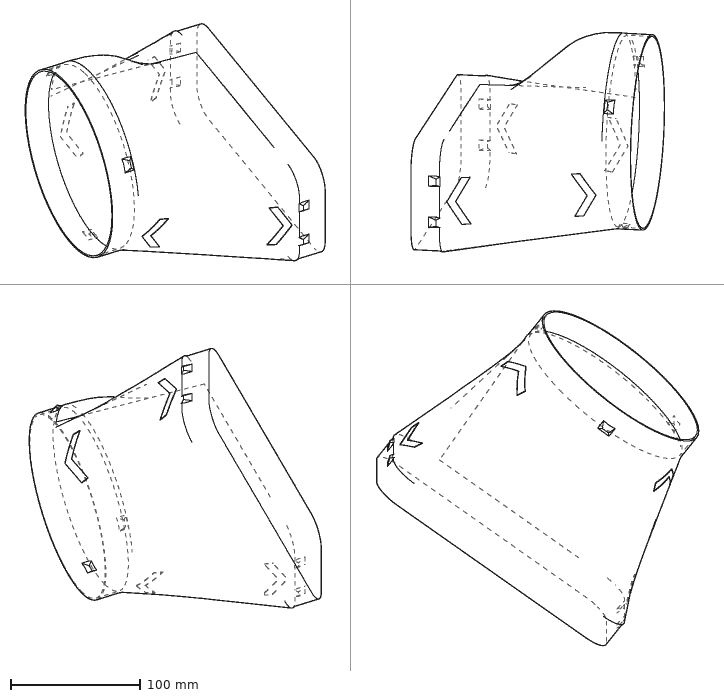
import cadquery as cq
import math


length = 166.0
spigot_collar_length = 19.5
spigot_ring_length = 3.0
duct_collar_length = 20.2
duct_ring_length = 2.3
front_y = -length / 2
rear_y = length / 2
spigot_ring_y = front_y + spigot_collar_length
duct_ring_y = rear_y - duct_collar_length
blend_front_y = spigot_ring_y + spigot_ring_length
blend_rear_y = duct_ring_y - duct_ring_length

ring_radius = 76.0
spigot_radius = 75.75
spigot_wall = 1.5

ring_width = 223.2
ring_height = 89.6
corner_radius = 20.0
duct_flare = 0.5
duct_z = -32.2
duct_top_z = duct_z + ring_height / 2

hump_rear_half_width = 67.2
hump_front_half_width = math.sqrt(ring_radius**2 - duct_top_z**2)
shoulder_z = 5.8
bottom_arc_half_width = 20.0
hump_overlap = 10.0
arc_radius = 57.0
crest_flat = 7.0
hump_sections = 14
section_points = 9
rear_rise = 0.3

clip_sink = 0.6
spigot_clip_tip_radius = 78.05
spigot_clip_angles = (30, 150, 270)
spigot_clip_width = 12.0
spigot_clip_ridge = 6.0
spigot_clip_root_radius = spigot_radius - clip_sink
duct_clip_span = 226.9
duct_clip_width = 9.2
duct_clip_ridge = 5.0
duct_clip_spacing = 33.0
spigot_clip_start = 13.6
duct_clip_start = 12.3
spigot_clip_end = 23.0
duct_clip_end = 24.2

arrow_tip_y = 55.1
arrow_half_height = 19.2
arrow_run = 10.9
arrow_band = 6.5
arrow_depth = 0.4


def xz_plane(y):
    """Plane at the given Y whose local axes are X and Z."""
    return cq.Workplane("XZ", origin=(0, y, 0))


def duct_section(y, inset=0.0):
    """Rounded rectangle with its top edge split where the hump begins and ends."""
    half_w = ring_width / 2 - inset
    half_h = ring_height / 2 - inset
    flat_x = half_w - corner_radius
    top, bottom = duct_z + half_h, duct_z - half_h
    high, low = top - corner_radius, bottom + corner_radius
    bulge = corner_radius * math.sqrt(0.5)
    return (
        xz_plane(y)
        .moveTo(-hump_rear_half_width, top)
        .lineTo(hump_rear_half_width, top)
        .lineTo(flat_x, top)
        .threePointArc((flat_x + bulge, high + bulge), (half_w, high))
        .lineTo(half_w, low)
        .threePointArc((flat_x + bulge, low - bulge), (flat_x, bottom))
        .lineTo(-flat_x, bottom)
        .threePointArc((-flat_x - bulge, low - bulge), (-half_w, low))
        .lineTo(-half_w, high)
        .threePointArc((-flat_x - bulge, high + bulge), (-flat_x, top))
        .close()
        .val()
    )


def on_circle(angle):
    return (ring_radius * math.cos(angle), ring_radius * math.sin(angle))


def spigot_section(y):
    """Ring circle cut off level with the duct top, split to pair up with the duct section."""
    side_half_height = ring_height / 2 - corner_radius
    right_angles = [
        math.asin(duct_top_z / ring_radius),
        math.asin(shoulder_z / ring_radius),
        math.asin((duct_z + side_half_height) / ring_radius),
        math.asin((duct_z - side_half_height) / ring_radius),
        -math.acos(bottom_arc_half_width / ring_radius),
    ]
    left_angles = [-math.pi - angle for angle in reversed(right_angles)]
    angles = right_angles + left_angles
    outline = xz_plane(y).moveTo(*on_circle(left_angles[-1])).lineTo(*on_circle(right_angles[0]))
    for start, end in zip(angles[:-1], angles[1:]):
        outline = outline.threePointArc(on_circle((start + end) / 2), on_circle(end))
    return outline.wire().val()


def ruled(first, second):
    return cq.Workplane(cq.Solid.makeLoft([first, second], True))


def make_lower_body():
    return ruled(duct_section(blend_rear_y), spigot_section(blend_front_y))


def crest_rise(y):
    """Height of the hump crest above the duct top: two tangent arcs joined by a straight ramp."""
    run = blend_rear_y - blend_front_y - crest_flat
    rise = ring_radius - duct_top_z
    half_run, half_rise = run / 2, rise / 2
    reach = math.hypot(half_run, arc_radius - half_rise)
    slope = math.asin(arc_radius / reach) - math.atan2(arc_radius - half_rise, half_run)
    from_rear = blend_rear_y - y
    from_flat = run - from_rear
    if from_flat <= 0:
        return rise
    if from_rear < arc_radius * math.sin(slope):
        return arc_radius - math.sqrt(arc_radius**2 - from_rear**2)
    if from_flat < arc_radius * math.sin(slope):
        return rise - arc_radius + math.sqrt(arc_radius**2 - from_flat**2)
    return half_rise + (from_rear - half_run) * math.tan(slope)


def hump_section(y):
    """Ring arc above the duct top, squeezed in X and Z to the local hump size."""
    along = (y - blend_front_y) / (blend_rear_y - blend_front_y)
    half_width = hump_front_half_width + (hump_rear_half_width - hump_front_half_width) * along
    x_scale = half_width / hump_front_half_width
    z_scale = max(crest_rise(y), rear_rise) / (ring_radius - duct_top_z)
    base_angle = math.asin(duct_top_z / ring_radius)
    sweep = math.pi - 2 * base_angle
    points = []
    for i in range(section_points):
        x, z = on_circle(base_angle + sweep * i / (section_points - 1))
        points.append((x * x_scale, duct_top_z + (z - duct_top_z) * z_scale))
    floor_z = duct_top_z - hump_overlap
    return (
        xz_plane(y)
        .moveTo(*points[0])
        .spline(points[1:], includeCurrent=True)
        .lineTo(-half_width, floor_z)
        .lineTo(half_width, floor_z)
        .close()
        .val()
    )


def make_hump():
    step = (blend_front_y - blend_rear_y) / (hump_sections - 1)
    wires = [hump_section(blend_rear_y + step * i) for i in range(hump_sections)]
    return cq.Workplane(cq.Solid.makeLoft(wires))


def make_duct_collar():
    ring = ruled(duct_section(blend_rear_y), duct_section(duct_ring_y, duct_flare))
    collar = ruled(duct_section(duct_ring_y, duct_flare), duct_section(rear_y, duct_flare))
    return ring.union(collar)


def make_spigot():
    """Revolved collar with a blind round socket, plus the flared ring behind it."""
    bore_radius = spigot_radius - spigot_wall
    return (
        cq.Workplane("XY")
        .moveTo(0, blend_front_y)
        .lineTo(ring_radius, blend_front_y)
        .lineTo(spigot_radius, spigot_ring_y)
        .lineTo(spigot_radius, front_y)
        .lineTo(bore_radius, front_y)
        .lineTo(bore_radius, spigot_ring_y)
        .lineTo(0, spigot_ring_y)
        .close()
        .revolve(360, (0, 0, 0), (0, 1, 0))
    )


def make_clip(root_x, tip_x, ramp_y, ridge_y, end_y, width, ridge):
    """Hipped wedge pointing along +X: a rectangular root and a short ridge parallel to Z."""
    a = (root_x, ramp_y, -width / 2)
    b = (root_x, ramp_y, width / 2)
    c = (root_x, end_y, width / 2)
    d = (root_x, end_y, -width / 2)
    e = (tip_x, ridge_y, -ridge / 2)
    f = (tip_x, ridge_y, ridge / 2)
    outlines = [(a, b, c, d), (a, b, f, e), (d, c, f, e), (a, d, e), (b, c, f)]
    faces = []
    for outline in outlines:
        corners = [cq.Vector(*point) for point in outline]
        faces.append(cq.Face.makeFromWires(cq.Wire.makePolygon(corners, close=True)))
    return cq.Workplane(cq.Solid.makeSolid(cq.Shell.makeShell(faces)))


def add_spigot_clips(body):
    clip = make_clip(
        spigot_clip_root_radius,
        spigot_clip_tip_radius,
        front_y + spigot_clip_start,
        spigot_ring_y,
        front_y + spigot_clip_end,
        spigot_clip_width,
        spigot_clip_ridge,
    )
    for angle in spigot_clip_angles:
        body = body.union(clip.rotate((0, 0, 0), (0, 1, 0), -angle))
    return body


def add_duct_clips(body):
    clip = make_clip(
        ring_width / 2 - duct_flare - clip_sink,
        duct_clip_span / 2,
        rear_y - duct_clip_start,
        duct_ring_y,
        rear_y - duct_clip_end,
        duct_clip_width,
        duct_clip_ridge,
    )
    for offset in (-duct_clip_spacing / 2, duct_clip_spacing / 2):
        placed = clip.translate((0, 0, duct_z + offset))
        body = body.union(placed).union(placed.mirror("YZ"))
    return body


def arrow_prism(direction):
    """Chevron whose tip points along +Y or -Y, extruded across the +X wall."""
    tip = direction * arrow_tip_y
    tail = tip - direction * arrow_run
    band = direction * arrow_band
    top, bottom = duct_z + arrow_half_height, duct_z - arrow_half_height
    return (
        cq.Workplane("YZ")
        .polyline(
            [
                (tip, duct_z),
                (tail, top),
                (tail - band, top),
                (tip - band, duct_z),
                (tail - band, bottom),
                (tail, bottom),
            ]
        )
        .close()
        .extrude(ring_width)
    )


def cut_arrows(body, lower_body):
    for direction in (1, -1):
        groove = arrow_prism(direction).cut(lower_body.translate((-arrow_depth, 0, 0)))
        body = body.cut(groove).cut(groove.mirror("YZ"))
    return body


lower_body = make_lower_body()
result = cut_arrows(lower_body, lower_body).union(make_hump())
result = result.union(make_duct_collar()).union(make_spigot())
result = add_duct_clips(add_spigot_clips(result))